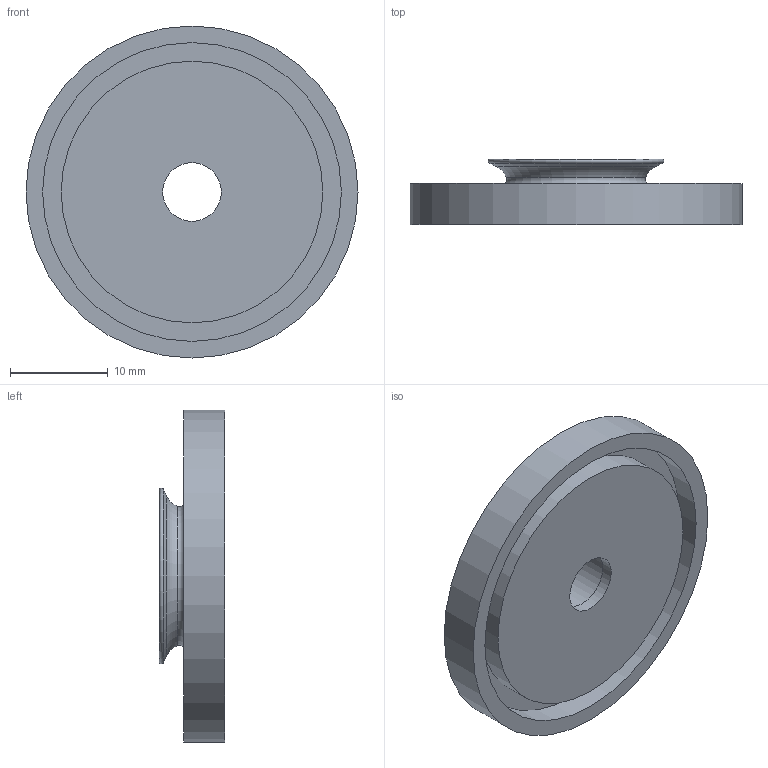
import cadquery as cq


wheel_radius = 34.0 / 2
wheel_width = 4.2

groove_outer_radius = 30.6 / 2
groove_inner_radius = 26.8 / 2
groove_depth = 2.5

lip_bore_radius = 6.0 / 2
main_bore_radius = 7.0 / 2
bore_lip_length = 1.2

total_width = 6.69
hub_base_radius = 7.38
neck_radius = 7.09
neck_y = 4.65
waist_radius = 7.12
waist_y = 4.83
flare_middle_radius = 7.48
flare_middle_y = 5.4
flare_end_radius = 8.22
flare_end_y = 5.96
rim_start_radius = 8.82
rim_start_y = 6.27
rim_radius = 9.0
rim_y = (rim_start_y + total_width) / 2


def revolve_about_y(profile):
    return profile.close().revolve(360, (0, 0, 0), (0, 1, 0))


def ring(inner_radius, outer_radius, front_y, back_y):
    profile = (
        cq.Workplane("XY")
        .moveTo(inner_radius, front_y)
        .lineTo(outer_radius, front_y)
        .lineTo(outer_radius, back_y)
        .lineTo(inner_radius, back_y)
    )
    return revolve_about_y(profile)


def make_wheel():
    groove = ring(groove_inner_radius, groove_outer_radius, 0, groove_depth)
    return ring(0, wheel_radius, 0, wheel_width).cut(groove)


def make_hub():
    profile = (
        cq.Workplane("XY")
        .moveTo(0, wheel_width)
        .lineTo(hub_base_radius, wheel_width)
        .threePointArc((neck_radius, neck_y), (waist_radius, waist_y))
        .threePointArc((flare_middle_radius, flare_middle_y), (flare_end_radius, flare_end_y))
        .lineTo(rim_start_radius, rim_start_y)
        .threePointArc((rim_radius, rim_y), (rim_start_radius, total_width))
        .lineTo(0, total_width)
    )
    return revolve_about_y(profile)


def make_bore():
    lip_bore = ring(0, lip_bore_radius, 0, bore_lip_length)
    main_bore = ring(0, main_bore_radius, bore_lip_length, total_width)
    return lip_bore.union(main_bore)


result = make_wheel().union(make_hub()).cut(make_bore())